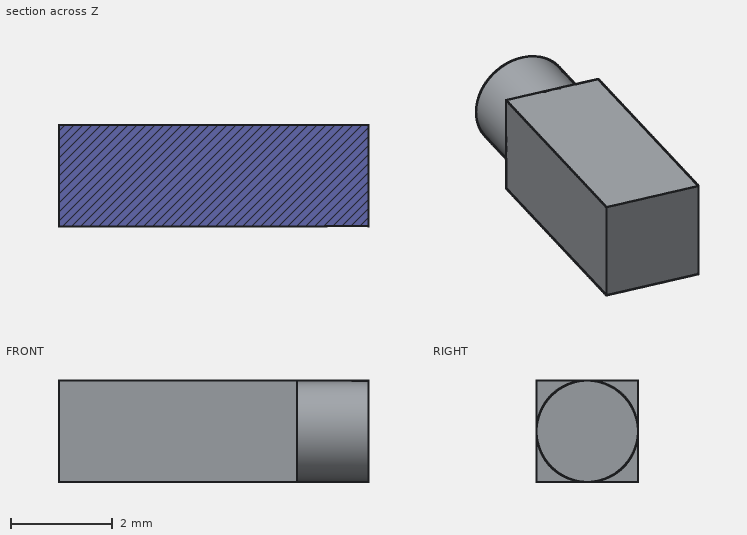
import cadquery as cq

total_length = 6.1
width = 2.0
bar_length = 4.69
round_end_length = total_length - bar_length

bar = cq.Workplane("YZ").rect(width, width).extrude(bar_length)

round_end = cq.Workplane("YZ", origin=(bar_length, 0, 0)).circle(width / 2).extrude(round_end_length)

result = bar.union(round_end)